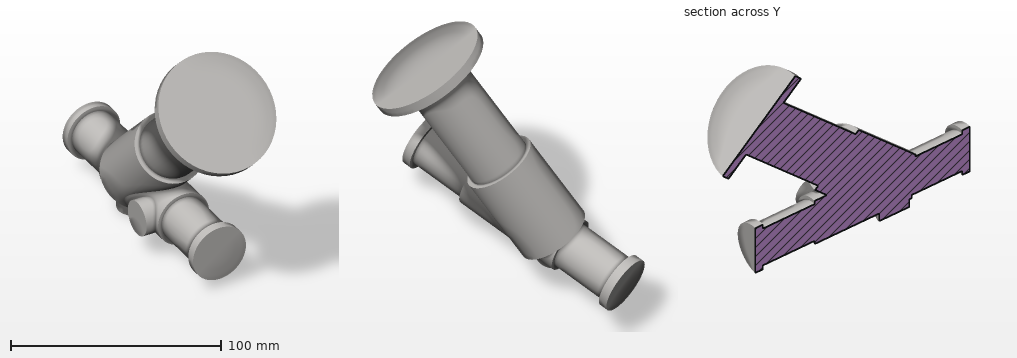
import cadquery as cq
import math

overall_length = 144.2
branch_angle = 45.0

run_right = 80.9
pipe_diameter = 24.0
end_flange_diameter = 29.0
end_flange_thickness = 4.6

body_left = -10.2
body_right = 46.5
body_diameter = 28.0

sleeve_diameter = 36.0
sleeve_end = 47.3
stem_diameter = 31.0
branch_length = 111.5
disk_diameter = 60.0
disk_thickness = 5.0

port_diameter = 18.0
port_reach = 18.9
side_port_x = 35.0

disk_right = branch_length * math.cos(math.radians(branch_angle)) + (
    disk_diameter / 2 * math.sin(math.radians(branch_angle))
)
run_left = disk_right - overall_length

x_axis = cq.Vector(1, 0, 0)
down = cq.Vector(0, 0, -1)
toward_front = cq.Vector(0, -1, 0)
branch_axis = cq.Vector(
    math.cos(math.radians(branch_angle)), 0, math.sin(math.radians(branch_angle))
)


def cylinder(axis, diameter, start, end, base=cq.Vector(0, 0, 0)):
    """Solid cylinder between two distances from base along a unit axis."""
    return cq.Workplane(
        cq.Solid.makeCylinder(diameter / 2, end - start, base + axis * start, axis)
    )


def make_run():
    """Straight pipe with a thicker body and a flange at each end."""
    pipe = cylinder(x_axis, pipe_diameter, run_left, run_right)
    body = cylinder(x_axis, body_diameter, body_left, body_right)
    run = pipe.union(body)
    for flange_start in (run_left, run_right - end_flange_thickness):
        flange_end = flange_start + end_flange_thickness
        run = run.union(cylinder(x_axis, end_flange_diameter, flange_start, flange_end))
    return run


def make_branch():
    """Inclined sleeve, stem and end disk."""
    disk_start = branch_length - disk_thickness
    sleeve = cylinder(branch_axis, sleeve_diameter, 0, sleeve_end)
    stem = cylinder(branch_axis, stem_diameter, 0, disk_start)
    disk = cylinder(branch_axis, disk_diameter, disk_start, branch_length)
    return sleeve.union(stem).union(disk)


bottom_port = cylinder(down, port_diameter, 0, port_reach)
side_port = cylinder(
    toward_front, port_diameter, 0, port_reach, cq.Vector(side_port_x, 0, 0)
)

result = make_run().union(make_branch()).union(bottom_port).union(side_port)